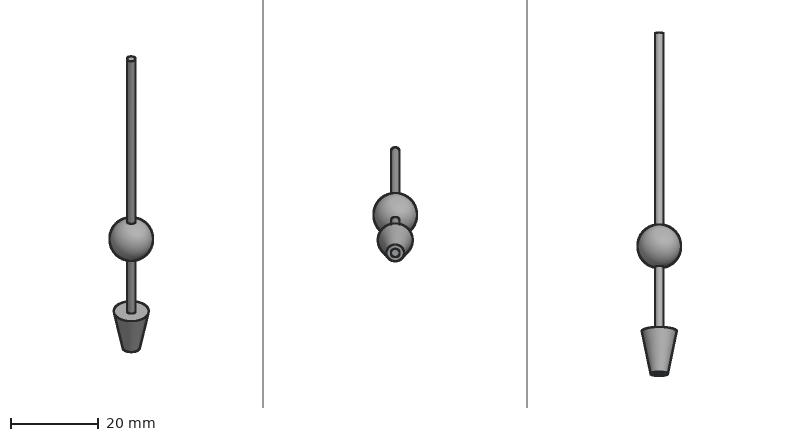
import cadquery as cq

rod_height = 80.0
rod_diameter = 2.0

ball_diameter = 10.0
ball_center_height = 30.0

foot_height = 10.0
foot_bottom_diameter = 4.0
foot_top_diameter = 8.0


def make_rod():
    """Plain round rod."""
    return cq.Workplane("XY").circle(rod_diameter / 2).extrude(rod_height)


def make_ball(rod):
    """Ball bored through to fit the rod."""
    ball = cq.Workplane("XY").sphere(ball_diameter / 2).translate((0, 0, ball_center_height))
    return ball.cut(rod)


def make_foot(rod):
    """Cone frustum, narrow end down, bored through to fit the rod."""
    half_profile = [
        (0, 0),
        (foot_bottom_diameter / 2, 0),
        (foot_top_diameter / 2, foot_height),
        (0, foot_height),
    ]
    cone = cq.Workplane("XZ").polyline(half_profile).close().revolve(360, (0, 0, 0), (0, 1, 0))
    return cone.cut(rod)


rod = make_rod()
ball = make_ball(rod)
foot = make_foot(rod)

result = cq.Compound.makeCompound([rod.val(), ball.val(), foot.val()])